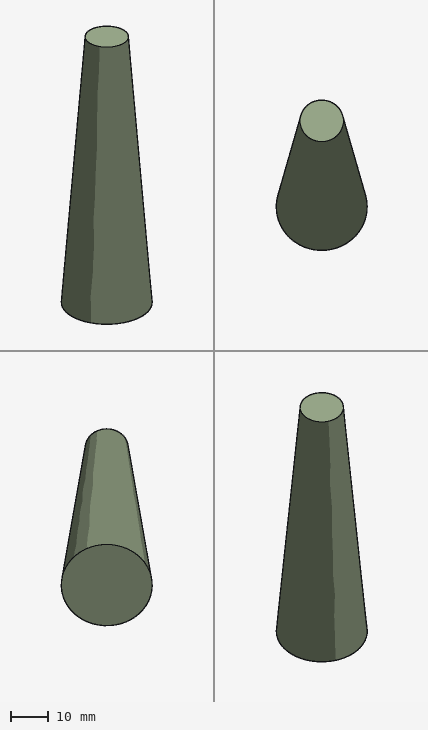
import cadquery as cq

height = 80.0
base_diameter = 24.0
top_diameter = 11.4

profile = (
    cq.Workplane("XZ")
    .lineTo(-base_diameter / 2, 0)
    .lineTo(-top_diameter / 2, height)
    .lineTo(0, height)
    .close()
)

result = profile.revolve(360, (0, 0, 0), (0, 1, 0))